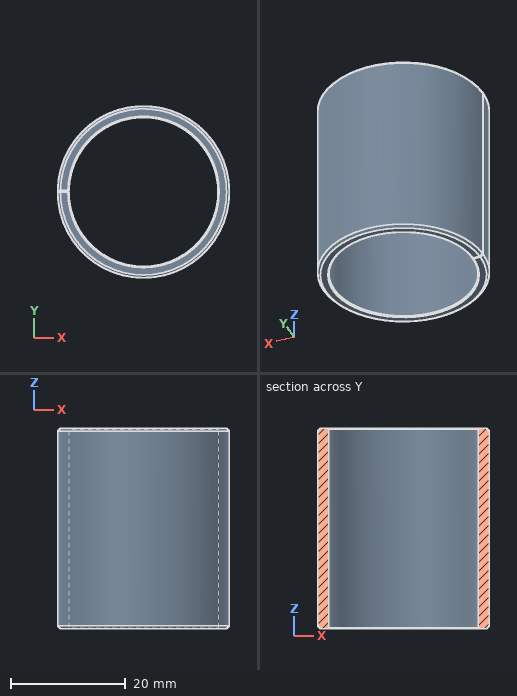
import math

import cadquery as cq

outer_diameter = 30.0
inner_diameter = 26.0
length = 35.0
outer_chamfer = 0.5
inner_chamfer = 0.2
slit_angle = 1.0

outer_radius = outer_diameter / 2
inner_radius = inner_diameter / 2


def make_sleeve():
    """Revolve the wall section, with chamfers at both ends, about the Z axis."""
    wall_section = [
        (inner_radius, inner_chamfer),
        (inner_radius + inner_chamfer, 0),
        (outer_radius - outer_chamfer, 0),
        (outer_radius, outer_chamfer),
        (outer_radius, length - outer_chamfer),
        (outer_radius - outer_chamfer, length),
        (inner_radius + inner_chamfer, length),
        (inner_radius, length - inner_chamfer),
    ]
    section = cq.Workplane("XZ").polyline(wall_section).close()
    return section.revolve(360, (0, 0, 0), (0, 1, 0))


def make_slit_wedge():
    """Wedge from the axis past the wall, so that both slit faces are radial."""
    reach = outer_diameter
    opening = reach * math.tan(math.radians(slit_angle))
    wedge = [(0, 0), (-reach, 0), (-reach, opening)]
    return cq.Workplane("XY").polyline(wedge).close().extrude(length)


result = make_sleeve().cut(make_slit_wedge())